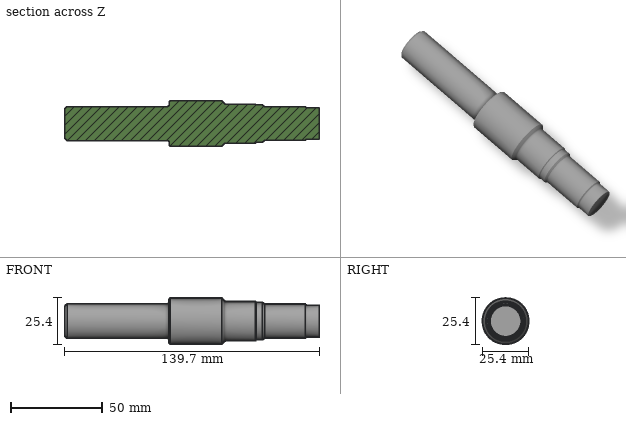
import cadquery as cq
import math

shank_diameter = 19.05
collar_diameter = 25.4
seat_diameter = 21.7
relief_diameter = 20.7
journal_diameter = 18.8
pilot_diameter = 17.5

total_length = 139.7
collar_start = 57.15
collar_end = 86.1
seat_end = 104.5
relief_end = 108.4
journal_end = 131.8

shank_chamfer = 1.3
collar_chamfer = 0.8
shank_fillet = 0.7
collar_blend_radius = 0.8
journal_blend_radius = 0.5
relief_taper_length = 1.2
seat_taper_length = 0.5
pilot_chamfer = 0.2

shank_radius = shank_diameter / 2
collar_radius = collar_diameter / 2
seat_radius = seat_diameter / 2
relief_radius = relief_diameter / 2
journal_radius = journal_diameter / 2
pilot_radius = pilot_diameter / 2

collar_taper_end = collar_end + collar_radius - seat_radius
journal_taper_end = journal_end + journal_radius - pilot_radius

taper_angle = math.radians(45)


def taper_down(profile, foot_x, foot_radius, blend_radius):
    """Draw a 45 degree taper with a concave blend tangent to it and to the next cylinder."""
    reach = blend_radius * math.tan(taper_angle / 2)
    blend_start = (foot_x - reach * math.cos(taper_angle), foot_radius + reach * math.sin(taper_angle))
    blend_end = (foot_x + reach, foot_radius)
    return profile.lineTo(*blend_start).radiusArc(blend_end, -blend_radius)


profile = (
    cq.Workplane("XZ")
    .moveTo(0, 0)
    .lineTo(0, shank_radius - shank_chamfer)
    .lineTo(shank_chamfer, shank_radius)
    .lineTo(collar_start - shank_fillet, shank_radius)
    .radiusArc((collar_start, shank_radius + shank_fillet), -shank_fillet)
    .lineTo(collar_start, collar_radius - collar_chamfer)
    .lineTo(collar_start + collar_chamfer, collar_radius)
    .lineTo(collar_end, collar_radius)
)

profile = taper_down(profile, collar_taper_end, seat_radius, collar_blend_radius)
profile = (
    profile.lineTo(seat_end, seat_radius)
    .lineTo(seat_end + seat_taper_length, relief_radius)
    .lineTo(relief_end, relief_radius)
    .lineTo(relief_end + relief_taper_length, journal_radius)
    .lineTo(journal_end, journal_radius)
)

profile = taper_down(profile, journal_taper_end, pilot_radius, journal_blend_radius)
profile = (
    profile.lineTo(total_length - pilot_chamfer, pilot_radius)
    .lineTo(total_length, pilot_radius - pilot_chamfer)
    .lineTo(total_length, 0)
    .close()
)

result = profile.revolve(360, (0, 0, 0), (1, 0, 0))